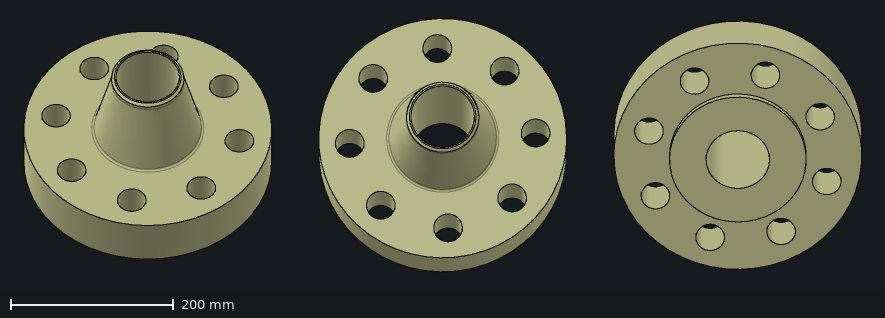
import cadquery as cq

flange_diameter = 304.7
flange_thickness = 67.0
raised_face_diameter = 168.0
raised_face_height = 9.5
overall_height = 177.5
bore_diameter = 77.7

bolt_count = 8
bolt_circle_diameter = 228.5
bolt_hole_diameter = 35.0

hub_base_diameter = 133.0
hub_root_fillet = 3.0
pipe_diameter = 89.0
pipe_end_length = 8.2
bevel_height = 2.7
bevel_width = 3.7

flange_bottom = raised_face_height
flange_top = flange_bottom + flange_thickness
pipe_start = overall_height - pipe_end_length
bevel_start = overall_height - bevel_height


def make_body():
    """Revolve the half section, running from the bore outwards and up."""
    bore_radius = bore_diameter / 2
    face_radius = raised_face_diameter / 2
    flange_radius = flange_diameter / 2
    pipe_radius = pipe_diameter / 2
    section = [
        (bore_radius, 0),
        (face_radius, 0),
        (face_radius, flange_bottom),
        (flange_radius, flange_bottom),
        (flange_radius, flange_top),
        (hub_base_diameter / 2, flange_top),
        (pipe_radius, pipe_start),
        (pipe_radius, bevel_start),
        (pipe_radius - bevel_width, overall_height),
        (bore_radius, overall_height),
    ]
    return cq.Workplane("XZ").polyline(section).close().revolve(360, (0, 0), (0, 1))


def round_hub_root(body):
    """Blend the foot of the hub into the upper flange face."""
    reach = hub_base_diameter / 2 + hub_root_fillet
    root_zone = cq.selectors.BoxSelector(
        (-reach, -reach, flange_top - hub_root_fillet),
        (reach, reach, flange_top + hub_root_fillet),
        boundingbox=True,
    )
    return body.edges(root_zone).fillet(hub_root_fillet)


def make_bolt_holes():
    """Cylinders spaced evenly on the bolt circle, the first on the X axis."""
    return (
        cq.Workplane("XY")
        .workplane(offset=flange_bottom)
        .polarArray(bolt_circle_diameter / 2, 0, 360, bolt_count)
        .circle(bolt_hole_diameter / 2)
        .extrude(flange_thickness)
    )


result = round_hub_root(make_body()).cut(make_bolt_holes())